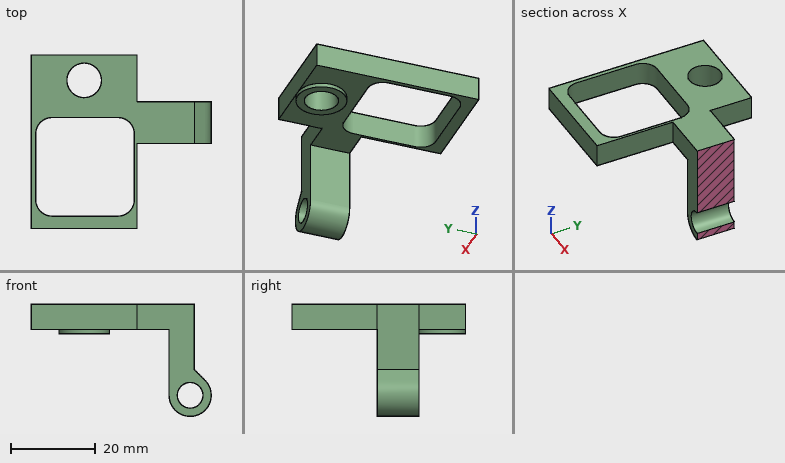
import cadquery as cq
import math

plate_width = 25.0
plate_length = 41.0
plate_thickness = 6.0

mount_hole_diameter = 8.1
boss_diameter = 12.0
boss_height = 1.0
mount_x = plate_width / 2
mount_y = plate_length - boss_diameter / 2

window_size = 23.2
window_radius = 3.8
window_center_x = 12.7
window_center_y = 14.6

arm_width = 9.9
arm_back_y = plate_length - 11.0
leg_thickness = 6.0
eye_radius = 5.0
eye_hole_diameter = 6.0
eye_x = 37.5
eye_z = -21.5
leg_inner_x = eye_x - eye_radius
leg_outer_x = leg_inner_x + leg_thickness


def make_plate():
    return cq.Workplane("XY").box(
        plate_width, plate_length, plate_thickness, centered=False
    ).translate((0, 0, -plate_thickness))


def make_boss():
    return (
        cq.Workplane("XY", origin=(mount_x, mount_y, -plate_thickness - boss_height))
        .circle(boss_diameter / 2)
        .extrude(boss_height + plate_thickness / 2)
    )


def make_arm():
    tangent_offset = eye_radius * math.sqrt(0.5)
    tangent_x = eye_x + tangent_offset
    tangent_z = eye_z + tangent_offset
    slope_top_z = tangent_z + (tangent_x - leg_outer_x)
    return (
        cq.Workplane("XZ", origin=(0, arm_back_y, 0))
        .moveTo(plate_width, 0)
        .lineTo(leg_outer_x, 0)
        .lineTo(leg_outer_x, slope_top_z)
        .lineTo(tangent_x, tangent_z)
        .threePointArc((eye_x, eye_z - eye_radius), (leg_inner_x, eye_z))
        .lineTo(leg_inner_x, -plate_thickness)
        .lineTo(plate_width, -plate_thickness)
        .close()
        .extrude(arm_width)
    )


def make_window():
    return (
        cq.Workplane("XY", origin=(window_center_x, window_center_y, -plate_thickness))
        .rect(window_size, window_size)
        .extrude(plate_thickness)
        .edges("|Z")
        .fillet(window_radius)
    )


def make_mount_hole():
    return (
        cq.Workplane("XY", origin=(mount_x, mount_y, -plate_thickness - boss_height))
        .circle(mount_hole_diameter / 2)
        .extrude(plate_thickness + boss_height)
    )


def make_eye_hole():
    return (
        cq.Workplane("XZ", origin=(eye_x, arm_back_y, eye_z))
        .circle(eye_hole_diameter / 2)
        .extrude(arm_width)
    )


body = make_plate().union(make_boss()).union(make_arm())
result = body.cut(make_window()).cut(make_mount_hole()).cut(make_eye_hole())